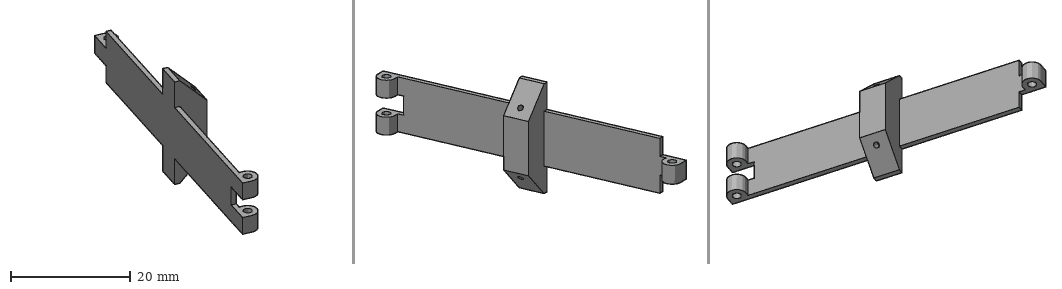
import cadquery as cq

length = 59.5
plate_height = 10.0
plate_thickness = 0.95

knuckle_height = 3.45
hinge_reach = 4.6
knuckle_radius = 1.7
pin_hole_diameter = 1.5

block_width = 4.9
block_height = 20.0
block_depth = 6.0

slope_hole_diameter = 1.0
slope_hole_depth = 2.0
slope_hole_y = 4.6

slope_run = block_depth - plate_thickness
half_length = length / 2
half_block = block_height / 2
pin_x = half_length - knuckle_radius
outer_knuckle_height = (plate_height - knuckle_height) / 2
outer_knuckle_z = (plate_height + knuckle_height) / 4


def make_box(x_size, y_size, z_size, x_center=0):
    """Box centred in Z, rising from the front face."""
    box = cq.Workplane("XY").box(x_size, y_size, z_size, centered=(True, False, True))
    return box.translate((x_center, 0, 0))


def make_plate():
    body = make_box(length - hinge_reach, plate_thickness, plate_height, hinge_reach / 2)
    end_x = half_length - hinge_reach / 2
    tongue = make_box(hinge_reach, plate_thickness, knuckle_height, -end_x)
    notch = make_box(hinge_reach, plate_thickness, knuckle_height, end_x)
    return body.union(tongue).cut(notch)


def make_knuckle(x, z, height):
    """Flat-footed, round-topped knuckle around a pin axis along Z."""
    return (
        cq.Workplane("XY", origin=(x, 0, z - height / 2))
        .moveTo(-knuckle_radius, 0)
        .lineTo(knuckle_radius, 0)
        .lineTo(knuckle_radius, knuckle_radius)
        .threePointArc((0, 2 * knuckle_radius), (-knuckle_radius, knuckle_radius))
        .close()
        .extrude(height)
    )


def make_pin_hole(x):
    return (
        cq.Workplane("XY", origin=(x, knuckle_radius, -plate_height / 2))
        .circle(pin_hole_diameter / 2)
        .extrude(plate_height)
    )


def make_block():
    """Trapezoid with 45 degree slopes, extruded across the plate."""
    back_half = half_block - slope_run
    return (
        cq.Workplane("YZ", origin=(-block_width / 2, 0, 0))
        .polyline([
            (0, -half_block),
            (plate_thickness, -half_block),
            (block_depth, -back_half),
            (block_depth, back_half),
            (plate_thickness, half_block),
            (0, half_block),
        ])
        .close()
        .extrude(block_width)
    )


def make_slope_hole(side):
    """Blind hole normal to the upper (side = 1) or lower (side = -1) slope."""
    slope_z = half_block - (slope_hole_y - plate_thickness)
    mouth = cq.Vector(0, slope_hole_y, side * slope_z)
    inward = cq.Vector(0, -1, -side)
    return cq.Workplane(cq.Solid.makeCylinder(slope_hole_diameter / 2, slope_hole_depth, mouth, inward))


result = make_plate().union(make_block())
result = result.union(make_knuckle(-pin_x, 0, knuckle_height))
for side in (-1, 1):
    result = result.union(make_knuckle(pin_x, side * outer_knuckle_z, outer_knuckle_height))
for side in (-1, 1):
    result = result.cut(make_pin_hole(side * pin_x))
    result = result.cut(make_slope_hole(side))